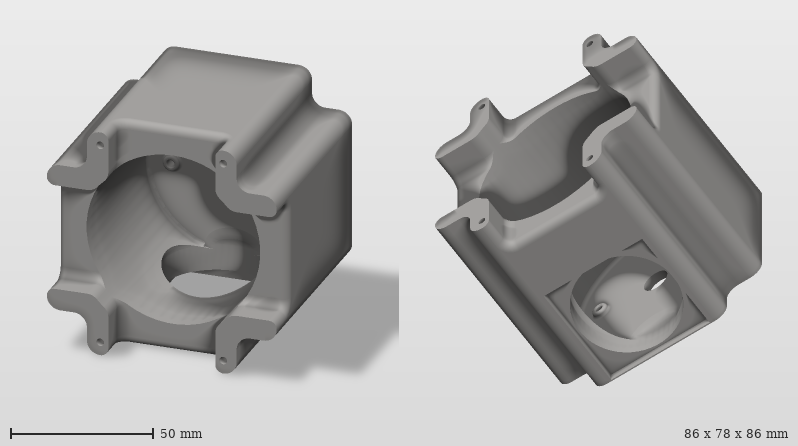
import cadquery as cq
import math

WIDTH = 86.0
LENGTH = 78.0
ARM_WIDTH = 56.0
CORNER_RADIUS = 5.0

BORE_DIAMETER = 65.0
BACK_WALL = 3.5
BORE_FLOOR_FILLET = 1.5
CENTER_HOLE_DIAMETER = 10.0

NOTCH_WIDTH = 40.0
NOTCH_DEPTH = 12.0
EDGE_RADIUS = 3.0
LOBE_INNER_RADIUS = 5.0

SCREW_HOLE_DIAMETER = 2.87
SCREW_HOLE_DEPTH = 10.0
DRILL_POINT_ANGLE = 118.0

BOSS_SPACING = 46.0
BOSS_DIAMETER = 6.07
BOSS_HEIGHT = 2.0
BOSS_ROUNDING = 0.95
BOSS_PAD_DIAMETER = 10.0
BOSS_HOLE_DIAMETER = 2.7
BOSS_LEAD_IN_DIAMETER = 3.5

OPENING_DIAMETER = 40.0
OPENING_CENTER_Y = 56.5
OPENING_TOP_Z = -23.8
OPENING_TOP_FILLET = 6.0
OPENING_FLOOR_FILLET = 10.0

RECESS_WIDTH = 42.0
RECESS_DEPTH = 3.5

HALF = WIDTH / 2
FLOOR_Y = LENGTH - BACK_WALL
SCREW_OFFSET_NEAR = ARM_WIDTH / 2 - CORNER_RADIUS
SCREW_OFFSET_FAR = HALF - CORNER_RADIUS
MARGIN = 5.0
NEAR = 0.1


def cylinder_y(diameter, start_y, length, x=0.0, z=0.0):
    """Cylinder along +Y starting at start_y."""
    return cq.Workplane(cq.Solid.makeCylinder(
        diameter / 2, length, cq.Vector(x, start_y, z), cq.Vector(0, 1, 0)))


def cone_y(start_diameter, end_diameter, start_y, length, x=0.0, z=0.0):
    """Cone along +Y starting at start_y."""
    return cq.Workplane(cq.Solid.makeCone(
        start_diameter / 2, end_diameter / 2, length, cq.Vector(x, start_y, z), cq.Vector(0, 1, 0)))


def make_body():
    body = cq.Workplane("XY").box(WIDTH, LENGTH, ARM_WIDTH).union(
        cq.Workplane("XY").box(ARM_WIDTH, LENGTH, WIDTH))
    return body.edges("|Y").fillet(CORNER_RADIUS).translate((0, LENGTH / 2, 0))


def make_lobe_block():
    """Corner block left between two notches, hollowed by the bore and rounded where they meet."""
    wall = NOTCH_WIDTH / 2
    block = (
        cq.Workplane("XY", origin=(wall, -MARGIN, wall))
        .box(HALF, NOTCH_DEPTH + MARGIN, HALF, centered=False)
        .cut(cylinder_y(BORE_DIAMETER, -MARGIN, NOTCH_DEPTH + MARGIN))
    )
    inner_corners = cq.selectors.BoxSelector(
        (wall - NEAR, -2 * MARGIN, wall - NEAR), (BORE_DIAMETER / 2, LENGTH, BORE_DIAMETER / 2))
    return block.edges("|Y").edges(inner_corners).fillet(LOBE_INNER_RADIUS)


def make_notch_cutter():
    """All four notches; plates outside the part give their edges a rounded flare."""
    cutter = (
        cq.Workplane("XY", origin=(0, (NOTCH_DEPTH - MARGIN) / 2, 0))
        .box(WIDTH, NOTCH_DEPTH + MARGIN, WIDTH)
    )
    lobe = make_lobe_block()
    for turn in range(4):
        cutter = cutter.cut(lobe.rotate((0, 0, 0), (0, 1, 0), 90 * turn))
    walls = cq.selectors.BoxSelector(
        (-HALF + NEAR, NOTCH_DEPTH - NEAR, -HALF + NEAR), (HALF - NEAR, NOTCH_DEPTH + NEAR, HALF - NEAR))
    cutter = cutter.edges(walls).fillet(EDGE_RADIUS)

    plate = (
        cq.Workplane("XY", origin=(0, -MARGIN, HALF))
        .box(WIDTH, LENGTH, MARGIN, centered=(True, False, False))
    )
    rim = cq.selectors.BoxSelector(
        (-NOTCH_WIDTH / 2 - NEAR, -MARGIN + NEAR, HALF - NEAR),
        (NOTCH_WIDTH / 2 + NEAR, NOTCH_DEPTH + NEAR, HALF + NEAR))
    for turn in range(4):
        cutter = cutter.union(plate).edges(rim).fillet(EDGE_RADIUS).rotate((0, 0, 0), (0, 1, 0), 90)
    return cutter


def make_bore_cutter():
    bore = cylinder_y(BORE_DIAMETER, -MARGIN, FLOOR_Y + MARGIN)
    return bore.faces(">Y").edges().fillet(BORE_FLOOR_FILLET)


def make_opening_cutter():
    bottom_z = -HALF - MARGIN
    opening = (
        cq.Workplane("XY", origin=(0, OPENING_CENTER_Y, bottom_z))
        .circle(OPENING_DIAMETER / 2).extrude(OPENING_TOP_Z - bottom_z)
        .faces(">Z").edges().fillet(OPENING_TOP_FILLET)
    )
    recess = (
        cq.Workplane("XY", origin=(0, OPENING_CENTER_Y, bottom_z))
        .rect(RECESS_WIDTH, RECESS_WIDTH).extrude(RECESS_DEPTH + MARGIN)
    )
    return opening.union(recess)


def make_floor_blend_cutter(opening):
    """Large rounding where the opening runs out into the flat bore floor."""
    sharp = cylinder_y(BORE_DIAMETER, -MARGIN, FLOOR_Y + MARGIN).union(opening)
    reach_y = FLOOR_Y - OPENING_CENTER_Y
    chord = math.sqrt((OPENING_DIAMETER / 2) ** 2 - reach_y ** 2)
    floor_edges = cq.selectors.BoxSelector(
        (-chord - NEAR, FLOOR_Y - NEAR, -HALF), (chord + NEAR, FLOOR_Y + NEAR, 0), True)
    rounded = sharp.edges(floor_edges).fillet(OPENING_FLOOR_FILLET)
    ball_to_axis = OPENING_DIAMETER / 2 + OPENING_FLOOR_FILLET
    half_width = math.sqrt(ball_to_axis ** 2 - (reach_y + OPENING_FLOOR_FILLET) ** 2)
    keep = (
        cq.Workplane("XY", origin=(0, FLOOR_Y - BORE_FLOOR_FILLET, -HALF))
        .box(2 * half_width, LENGTH, HALF, centered=(True, False, False))
    )
    return rounded.intersect(keep)


def make_screw_hole(x, z):
    tip = SCREW_HOLE_DIAMETER / 2 / math.tan(math.radians(DRILL_POINT_ANGLE / 2))
    return cylinder_y(SCREW_HOLE_DIAMETER, 0, SCREW_HOLE_DEPTH, x, z).union(
        cone_y(SCREW_HOLE_DIAMETER, 0, SCREW_HOLE_DEPTH, tip, x, z))


def make_boss(x):
    post = cylinder_y(BOSS_DIAMETER, FLOOR_Y - BOSS_HEIGHT, BOSS_HEIGHT, x)
    pad = cylinder_y(BOSS_PAD_DIAMETER, FLOOR_Y, BACK_WALL / 2, x)
    boss = post.union(pad)
    root = cq.selectors.BoxSelector(
        (x - BOSS_DIAMETER, FLOOR_Y - NEAR, -BOSS_DIAMETER),
        (x + BOSS_DIAMETER, FLOOR_Y + NEAR, BOSS_DIAMETER))
    post_edge = cq.selectors.RadiusNthSelector(0)
    return (
        boss.edges(root).edges(post_edge).fillet(BOSS_ROUNDING)
        .faces("<Y").edges().fillet(BOSS_ROUNDING)
    )


def make_boss_hole(x):
    lead_in = (BOSS_LEAD_IN_DIAMETER - BOSS_HOLE_DIAMETER) / 2
    top_y = FLOOR_Y - BOSS_HEIGHT
    return cylinder_y(BOSS_HOLE_DIAMETER, top_y, LENGTH - top_y, x).union(
        cone_y(BOSS_LEAD_IN_DIAMETER, BOSS_HOLE_DIAMETER, top_y, lead_in, x))


part = make_body().cut(make_notch_cutter())

opening_cutter = make_opening_cutter()
part = part.cut(make_bore_cutter()).cut(opening_cutter).cut(make_floor_blend_cutter(opening_cutter))
part = part.cut(cylinder_y(CENTER_HOLE_DIAMETER, FLOOR_Y, BACK_WALL))

for side in (-1, 1):
    boss_x = side * BOSS_SPACING / 2
    part = part.union(make_boss(boss_x)).cut(make_boss_hole(boss_x))
    for end in (-1, 1):
        part = part.cut(make_screw_hole(side * SCREW_OFFSET_NEAR, end * SCREW_OFFSET_FAR))

result = part